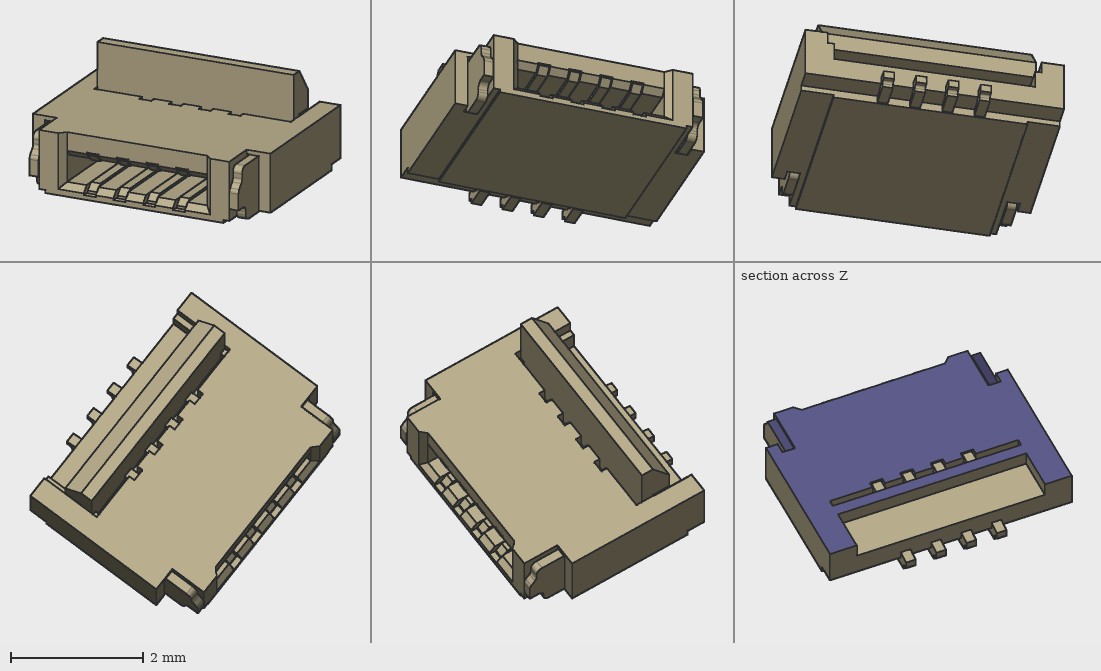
import cadquery as cq


BODY_HALF_WIDTH = 2.0
NOSE_HALF_WIDTH = 1.6
BASE_HALF_WIDTH = 1.5
BODY_DEPTH = 3.0
SHOULDER_Y = 0.6
BODY_TOP = 1.0
BASE_HEIGHT = 0.05
REAR_RELIEF_Y = 2.7
REAR_RELIEF_TOP = 0.145

LEAD_IN = 0.1
CAVITY_HALF_WIDTH = 1.18
CAVITY_FLOOR = 0.2
CAVITY_CEILING = 0.6
CAVITY_END_Y = 1.8

COVER_HALF_WIDTH = 1.65
RECESS_Y = 2.0
RECESS_FLOOR = 0.5
LEDGE_WIDTH = 0.1
LEDGE_TOP = 0.8
COVER_GAP = 0.1
COVER_STEM_THICKNESS = 0.2
COVER_FRONT_Y = RECESS_Y + COVER_GAP
COVER_STEM_Y = COVER_FRONT_Y + COVER_STEM_THICKNESS
COVER_REAR_Y = 2.6
COVER_TOP = 1.72
COVER_SLOPE_FOOT = 1.32
COVER_UNDERSIDE = 1.025

CONTACT_COUNT = 4
CONTACT_PITCH = 0.5
CONTACT_WIDTH = 0.16
SLOT_WIDTH = 0.2
SLOT_FLOOR = 0.07
SLOT_CEILING = 0.725
SLOT_OPENING_LENGTH = 0.1
NOSE_Y = 0.1
NOSE_SLOPE_LENGTH = 0.11
LOWER_ARM_TOP = 0.22
LOWER_NOSE_TOP = 0.115
UPPER_ARM_BOTTOM = 0.575
UPPER_ARM_TOP = 0.7
UPPER_NOSE_BOTTOM = 0.69

TAIL_END_Y = 3.2
TAIL_FOOT_FRONT_Y = 2.73
TAIL_FOOT_REAR_Y = 3.105
TAIL_FOOT_TOP = 0.1
TAIL_TOP = 0.23
TAIL_ROOT_TOP = 0.26
TAIL_ROOT_Y = 2.92
TAIL_CORNER_RADIUS = 0.04

TAB_INNER_X = 1.61
TAB_OUTER_X = 1.76
TAB_FRONT_Y = -0.01
TAB_REAR_Y = 0.78
TAB_TOP = 0.895
TAB_BROW_Y = 0.115
TAB_BROW_BOTTOM = 0.68
TAB_FACE_TOP = 0.55
TAB_FACE_BOTTOM = 0.245
TAB_HEEL_Y = 0.245
TAB_RADIUS = 0.1
TAB_SLOT_OUTER_X = 1.8
TAB_SLOT_TOP = 0.93


def box(x0, x1, y0, y1, z0, z1):
    """Axis-aligned block between two opposite corners."""
    return cq.Workplane("XY").box(x1 - x0, y1 - y0, z1 - z0, centered=False).translate((x0, y0, z0))


def wide_box(half_width, y0, y1, z0, z1):
    """Block that is symmetric about x = 0."""
    return box(-half_width, half_width, y0, y1, z0, z1)


def side_profile(points, x0, x1):
    """Closed (y, z) outline extruded from x0 to x1."""
    return cq.Workplane("YZ").polyline(points).close().extrude(x1 - x0).translate((x0, 0, 0))


def round_edges(solid, x, corners, radius):
    """Fillet the X-direction edges whose midpoints lie at x and the given (y, z) corners."""
    for y, z in corners:
        edge = cq.selectors.NearestToPointSelector((x, y, z))
        solid = solid.edges("|X").edges(edge).fillet(radius)
    return solid


def make_block():
    """Outer block: wide rear, narrower nose, thin base plate and a relief under the rear edge."""
    block = wide_box(BODY_HALF_WIDTH, SHOULDER_Y, BODY_DEPTH, BASE_HEIGHT, BODY_TOP)
    block = block.union(wide_box(NOSE_HALF_WIDTH, 0, SHOULDER_Y, BASE_HEIGHT, BODY_TOP))
    block = block.union(wide_box(BASE_HALF_WIDTH, 0, REAR_RELIEF_Y, 0, BASE_HEIGHT))
    return block.cut(wide_box(BODY_HALF_WIDTH, REAR_RELIEF_Y, BODY_DEPTH, 0, REAR_RELIEF_TOP))


def make_cavity():
    """Cable cavity with a flared mouth, open at the top of the mouth, and a sloped ceiling edge."""
    mouth_half_width = CAVITY_HALF_WIDTH + LEAD_IN
    cavity = wide_box(CAVITY_HALF_WIDTH, 0, CAVITY_END_Y, CAVITY_FLOOR, CAVITY_CEILING)
    flare = (
        cq.Workplane("XZ")
        .moveTo(0, (CAVITY_FLOOR - LEAD_IN + BODY_TOP) / 2)
        .rect(2 * mouth_half_width, BODY_TOP - CAVITY_FLOOR + LEAD_IN)
        .workplane(offset=-LEAD_IN)
        .moveTo(0, (CAVITY_FLOOR + BODY_TOP) / 2)
        .rect(2 * CAVITY_HALF_WIDTH, BODY_TOP - CAVITY_FLOOR)
        .loft(ruled=True)
    )
    ceiling_slope = side_profile(
        [
            (LEAD_IN, CAVITY_CEILING),
            (2 * LEAD_IN, CAVITY_CEILING),
            (LEAD_IN, CAVITY_CEILING + LEAD_IN),
        ],
        -CAVITY_HALF_WIDTH,
        CAVITY_HALF_WIDTH,
    )
    return cavity.union(flare).union(ceiling_slope)


def make_recess():
    """Rear recess under the cover, with a narrow ledge along each side."""
    floor_half_width = COVER_HALF_WIDTH - LEDGE_WIDTH
    recess = wide_box(COVER_HALF_WIDTH, RECESS_Y, BODY_DEPTH, LEDGE_TOP, BODY_TOP)
    return recess.union(wide_box(floor_half_width, RECESS_Y, BODY_DEPTH, RECESS_FLOOR, LEDGE_TOP))


def make_cover():
    """Upright cover with a sloped back, standing on a stem in the recess."""
    upper = [
        (COVER_FRONT_Y, LEDGE_TOP),
        (COVER_FRONT_Y, COVER_TOP),
        (COVER_STEM_Y, COVER_TOP),
        (COVER_REAR_Y, COVER_SLOPE_FOOT),
        (COVER_REAR_Y, COVER_UNDERSIDE),
        (COVER_STEM_Y, COVER_UNDERSIDE),
        (COVER_STEM_Y, LEDGE_TOP),
    ]
    cover = side_profile(upper, -COVER_HALF_WIDTH, COVER_HALF_WIDTH)
    stem_half_width = COVER_HALF_WIDTH - LEDGE_WIDTH
    return cover.union(wide_box(stem_half_width, COVER_FRONT_Y, COVER_STEM_Y, RECESS_FLOOR, LEDGE_TOP))


def make_contact_slot(x):
    """Grooves in the cavity floor and ceiling, and the opening in the top wall, for one contact."""
    x0 = x - SLOT_WIDTH / 2
    x1 = x + SLOT_WIDTH / 2
    opening_y = RECESS_Y - SLOT_OPENING_LENGTH
    slot = box(x0, x1, 0, CAVITY_END_Y, SLOT_FLOOR, CAVITY_FLOOR)
    slot = slot.union(box(x0, x1, LEAD_IN, CAVITY_END_Y, CAVITY_CEILING, SLOT_CEILING))
    return slot.union(box(x0, x1, opening_y, RECESS_Y, RECESS_FLOOR, BODY_TOP))


def make_contact_arms(x):
    """Lower and upper spring arms of one contact, each with a sloped nose."""
    x0 = x - CONTACT_WIDTH / 2
    x1 = x + CONTACT_WIDTH / 2
    slope_end_y = NOSE_Y + NOSE_SLOPE_LENGTH
    lower = [
        (NOSE_Y, SLOT_FLOOR),
        (NOSE_Y, LOWER_NOSE_TOP),
        (slope_end_y, LOWER_ARM_TOP),
        (CAVITY_END_Y, LOWER_ARM_TOP),
        (CAVITY_END_Y, SLOT_FLOOR),
    ]
    upper = [
        (NOSE_Y, UPPER_ARM_TOP),
        (NOSE_Y, UPPER_NOSE_BOTTOM),
        (slope_end_y, UPPER_ARM_BOTTOM),
        (COVER_FRONT_Y, UPPER_ARM_BOTTOM),
        (COVER_FRONT_Y, UPPER_ARM_TOP),
    ]
    return side_profile(lower, x0, x1).union(side_profile(upper, x0, x1))


def make_tail(x):
    """Solder tail of one contact, sloping down from the rear wall to a foot on the board."""
    profile = [
        (TAIL_FOOT_FRONT_Y, 0),
        (TAIL_FOOT_FRONT_Y, TAIL_FOOT_TOP),
        (TAIL_ROOT_Y, TAIL_FOOT_TOP),
        (TAIL_ROOT_Y, TAIL_ROOT_TOP),
        (BODY_DEPTH, TAIL_ROOT_TOP),
        (TAIL_END_Y, TAIL_TOP),
        (TAIL_END_Y, TAIL_FOOT_TOP),
        (TAIL_FOOT_REAR_Y, TAIL_FOOT_TOP),
        (TAIL_FOOT_REAR_Y, 0),
    ]
    tail = side_profile(profile, x - CONTACT_WIDTH / 2, x + CONTACT_WIDTH / 2)
    rounded_corners = [
        (TAIL_FOOT_FRONT_Y, TAIL_FOOT_TOP),
        (TAIL_ROOT_Y, TAIL_FOOT_TOP),
        (TAIL_FOOT_REAR_Y, TAIL_FOOT_TOP),
    ]
    return round_edges(tail, x, rounded_corners, TAIL_CORNER_RADIUS)


def make_tab_slot():
    """Slot in the right shoulder, open to the front and the bottom."""
    return box(NOSE_HALF_WIDTH, TAB_SLOT_OUTER_X, SHOULDER_Y, TAB_REAR_Y, 0, TAB_SLOT_TOP)


def make_housing():
    """Housing with its cover and contacts as one solid."""
    housing = make_block().cut(make_cavity()).cut(make_recess()).union(make_cover())
    tab_slot = make_tab_slot()
    housing = housing.cut(tab_slot).cut(tab_slot.mirror("YZ"))
    for i in range(CONTACT_COUNT):
        x = (i - (CONTACT_COUNT - 1) / 2) * CONTACT_PITCH
        housing = housing.cut(make_contact_slot(x))
        housing = housing.union(make_contact_arms(x)).union(make_tail(x))
    return housing


def make_tab():
    """Right hold-down tab: a flat plate with a rounded brow, a snout and an undercut heel."""
    profile = [
        (TAB_REAR_Y, 0),
        (TAB_REAR_Y, TAB_TOP),
        (TAB_BROW_Y, TAB_TOP),
        (TAB_BROW_Y, TAB_BROW_BOTTOM),
        (TAB_FRONT_Y, TAB_FACE_TOP),
        (TAB_FRONT_Y, TAB_FACE_BOTTOM),
        (TAB_HEEL_Y, TAB_FACE_BOTTOM),
        (TAB_HEEL_Y, 0),
    ]
    tab = side_profile(profile, TAB_INNER_X, TAB_OUTER_X)
    rounded_corners = [
        (TAB_BROW_Y, TAB_TOP),
        (TAB_BROW_Y, TAB_BROW_BOTTOM),
        (TAB_FRONT_Y, TAB_FACE_TOP),
        (TAB_HEEL_Y, TAB_FACE_BOTTOM),
        (TAB_HEEL_Y, 0),
        (TAB_REAR_Y, 0),
    ]
    return round_edges(tab, (TAB_INNER_X + TAB_OUTER_X) / 2, rounded_corners, TAB_RADIUS)


housing = make_housing()
right_tab = make_tab()
left_tab = right_tab.mirror("YZ")

result = cq.Compound.makeCompound([housing.val(), right_tab.val(), left_tab.val()])